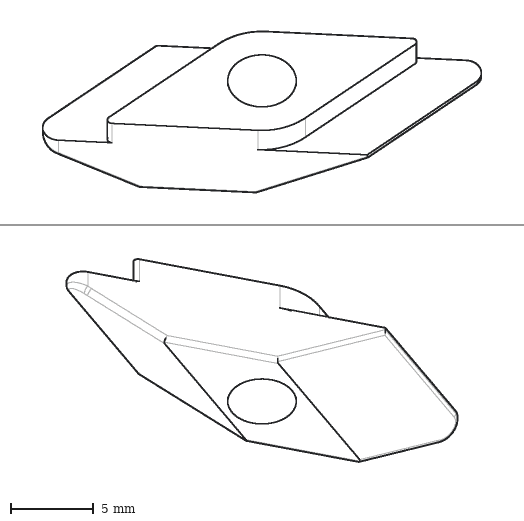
import cadquery as cq
import math

flange_width = 14.98
neck_width = 7.9
neck_height = 1.8
flange_height = 4.2
bottom_width = 5.13
lip_height = 0.35
tip_radius = 1.0
neck_tip_radius = 0.28
neck_round_radius = neck_width / 2
edge_radius = 0.3
hole_diameter = 4.15

half_flange = flange_width / 2
slant_offset = neck_width / 2 * math.sqrt(2)


def parallelogram_prism(width, height):
    """Upright prism with two sides along Y and two at 45 degrees, centred on Z."""
    x = width / 2
    corners = [
        (-x, -x - slant_offset),
        (x, x - slant_offset),
        (x, x + slant_offset),
        (-x, -x + slant_offset),
    ]
    return cq.Workplane("XY").polyline(corners).close().extrude(height)


def round_corners(prism, radius, acute):
    """Round the two acute or the two obtuse upright corners."""
    corners = prism.edges("|Z").vals()
    chosen = [edge for edge in corners if (abs(edge.Center().y) > slant_offset) == acute]
    return prism.newObject(chosen).fillet(radius)


def make_flange():
    blank = parallelogram_prism(flange_width, flange_height)
    blank = round_corners(blank, tip_radius, acute=True)
    profile = [
        (-half_flange, flange_height),
        (-half_flange, flange_height - lip_height),
        (-bottom_width / 2, 0),
        (bottom_width / 2, 0),
        (half_flange, flange_height - lip_height),
        (half_flange, flange_height),
    ]
    length_along_y = 2 * (half_flange + slant_offset)
    envelope = cq.Workplane("XZ").polyline(profile).close().extrude(length_along_y / 2, both=True)
    flange = blank.intersect(envelope)

    lower_edges = flange.faces("not |Z").edges("not |Z").edges("not >Z").vals()
    bevel_foot = flange.faces("<Z").edges("|Y").vals()
    rounded = [edge for edge in lower_edges if not any(edge.isSame(foot) for foot in bevel_foot)]
    return flange.newObject(rounded).fillet(edge_radius)


def make_neck():
    neck = parallelogram_prism(neck_width, neck_height)
    neck = round_corners(neck, neck_tip_radius, acute=True)
    neck = round_corners(neck, neck_round_radius, acute=False)
    return neck.translate((0, 0, flange_height))


hole = cq.Workplane("XY").circle(hole_diameter / 2).extrude(flange_height + neck_height)

result = make_flange().union(make_neck()).cut(hole)